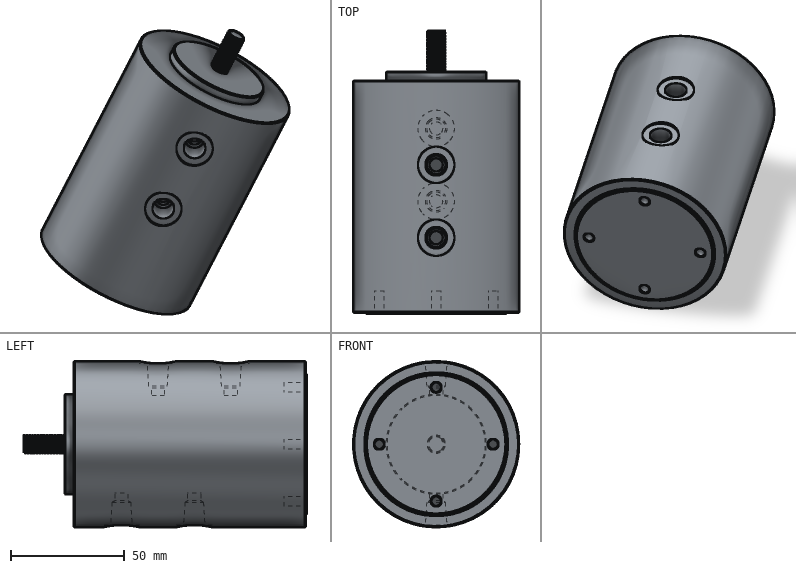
import cadquery as cq
BODY_DIAMETER = 73.0
BODY_LENGTH = 102.0
BODY_CHAMFER = 0.5

FLANGE_DIAMETER = 44.0
FLANGE_LENGTH = 4.0
FLANGE_CHAMFER = 0.5

STUD_DIAMETER = 8.0
STUD_LENGTH = 18.0
THREAD_PITCH = 1.25
THREAD_DEPTH = 0.5413 * THREAD_PITCH
THREAD_CREST = THREAD_PITCH / 8
THREAD_ROOT = THREAD_PITCH / 4
THREAD_OVERCUT = 0.05
STUD_CHAMFER = 0.3

COVER_DIAMETER = 61.8
COVER_PROUD = 0.5
COVER_CHAMFER = 0.5
RECESS_CHAMFER = 0.7

COVER_HOLE_COUNT = 4
COVER_HOLE_CIRCLE = 50.0
COVER_HOLE_DIAMETER = 4.2
COVER_HOLE_DEPTH = 10.0
COUNTERSINK_DIAMETER = 4.8

PORTS_PER_SIDE = 2
PORT_FIRST_Y = 33.0
PORT_SPACING = 16.0
SPOTFACE_DIAMETER = 16.0
SPOTFACE_DEPTH = 1.0
PORT_DIAMETER = 9.5
PORT_TIP_DIAMETER = 8.2
PORT_DEPTH = 10.0
PORT_CONE_DEPTH = 0.7
PORT_BORE_DIAMETER = 5.8
PORT_BORE_DEPTH = 14.0

BODY_RADIUS = BODY_DIAMETER / 2
COVER_RADIUS = COVER_DIAMETER / 2
FLANGE_END_Y = BODY_LENGTH + FLANGE_LENGTH


def revolve_about_y(points):
    """Revolve a closed (radius, Y) outline about the Y axis."""
    return cq.Workplane("XY").polyline(points).close().revolve(360, (0, 0, 0), (0, 1, 0))


def make_body():
    flange_radius = FLANGE_DIAMETER / 2
    return revolve_about_y([
        (0, -COVER_PROUD),
        (COVER_RADIUS - COVER_CHAMFER, -COVER_PROUD),
        (COVER_RADIUS, COVER_CHAMFER - COVER_PROUD),
        (COVER_RADIUS, RECESS_CHAMFER),
        (COVER_RADIUS + RECESS_CHAMFER, 0),
        (BODY_RADIUS - BODY_CHAMFER, 0),
        (BODY_RADIUS, BODY_CHAMFER),
        (BODY_RADIUS, BODY_LENGTH - BODY_CHAMFER),
        (BODY_RADIUS - BODY_CHAMFER, BODY_LENGTH),
        (flange_radius, BODY_LENGTH),
        (flange_radius, FLANGE_END_Y - FLANGE_CHAMFER),
        (flange_radius - FLANGE_CHAMFER, FLANGE_END_Y),
        (0, FLANGE_END_Y),
    ])


def make_stud():
    """Stud along +Y, standing on the flange, with one helical groove as its thread."""
    crest_radius = STUD_DIAMETER / 2
    root_radius = crest_radius - THREAD_DEPTH
    cut_radius = crest_radius + THREAD_OVERCUT
    half_root = THREAD_ROOT / 2
    half_mouth = (THREAD_PITCH - THREAD_CREST) / 2
    half_cut = half_mouth + (half_mouth - half_root) * THREAD_OVERCUT / THREAD_DEPTH

    shank = cq.Workplane("XY").circle(crest_radius).extrude(STUD_LENGTH)
    helix = cq.Wire.makeHelix(THREAD_PITCH, STUD_LENGTH + 2 * THREAD_PITCH, crest_radius)
    groove = (
        cq.Workplane("XZ")
        .polyline([
            (root_radius, -half_root),
            (cut_radius, -half_cut),
            (cut_radius, half_cut),
            (root_radius, half_root),
        ])
        .close()
        .sweep(cq.Workplane(obj=helix), isFrenet=True)
        .translate((0, 0, -THREAD_PITCH))
    )
    tip_chamfer = (
        cq.Workplane("XZ")
        .polyline([
            (crest_radius - STUD_CHAMFER, STUD_LENGTH),
            (crest_radius + STUD_CHAMFER, STUD_LENGTH),
            (crest_radius + STUD_CHAMFER, STUD_LENGTH - 2 * STUD_CHAMFER),
        ])
        .close()
        .revolve(360, (0, 0, 0), (0, 1, 0))
    )
    stud = shank.cut(groove).cut(tip_chamfer)
    return stud.rotate((0, 0, 0), (1, 0, 0), -90).translate((0, FLANGE_END_Y, 0))


def make_cover_hole(angle):
    """Cutter for one countersunk cover hole, at an angle about the Y axis."""
    countersink_radius = COUNTERSINK_DIAMETER / 2
    hole_radius = COVER_HOLE_DIAMETER / 2
    countersink_depth = countersink_radius - hole_radius
    cutter = revolve_about_y([
        (0, -COVER_PROUD),
        (countersink_radius, -COVER_PROUD),
        (hole_radius, countersink_depth - COVER_PROUD),
        (hole_radius, COVER_HOLE_DEPTH - COVER_PROUD),
        (0, COVER_HOLE_DEPTH - COVER_PROUD),
    ])
    return cutter.translate((COVER_HOLE_CIRCLE / 2, 0, 0)).rotate((0, 0, 0), (0, 1, 0), angle)


def make_port(port_y):
    """Cutter for a port entering from the top (+Z)."""
    seat_z = BODY_RADIUS - SPOTFACE_DEPTH
    cone_z = seat_z - PORT_DEPTH
    profile = [
        (0, BODY_RADIUS),
        (SPOTFACE_DIAMETER / 2, BODY_RADIUS),
        (SPOTFACE_DIAMETER / 2, seat_z),
        (PORT_DIAMETER / 2, seat_z),
        (PORT_TIP_DIAMETER / 2, cone_z),
        (PORT_BORE_DIAMETER / 2, cone_z - PORT_CONE_DEPTH),
        (PORT_BORE_DIAMETER / 2, seat_z - PORT_BORE_DEPTH),
        (0, seat_z - PORT_BORE_DEPTH),
    ]
    cutter = cq.Workplane("XZ").polyline(profile).close().revolve(360, (0, 0, 0), (0, 1, 0))
    return cutter.translate((0, port_y, 0))


result = make_body().union(make_stud())
for hole in range(COVER_HOLE_COUNT):
    result = result.cut(make_cover_hole(hole * 360 / COVER_HOLE_COUNT))

for row in range(PORTS_PER_SIDE):
    top_y = PORT_FIRST_Y + 2 * row * PORT_SPACING
    bottom_y = top_y + PORT_SPACING
    result = result.cut(make_port(top_y))
    result = result.cut(make_port(bottom_y).mirror("XY"))